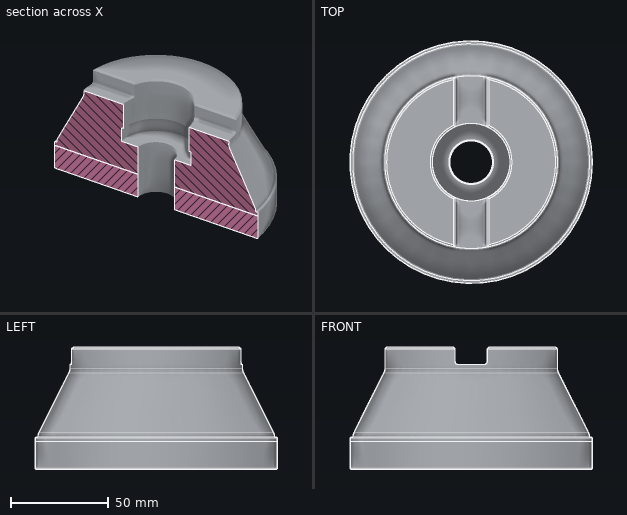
import cadquery as cq
import math

total_height = 63.0
rim_radius = 124.92 / 2
cone_foot_radius = 122.08 / 2
neck_radius = 89.0 / 2
base_height = 14.3
rim_top = 16.6
rim_rounding = 0.8
neck_chamfer = 1.0
blend_radius = 5.0
neck_bottom = 51.95

bore_radius = 40.0 / 2
guide_depth = 24.0
bore_depth = 32.0
relief_radius = 42.0 / 2
bore_chamfer = 1.0
hole_radius = 22.0 / 2
hole_chamfer = 0.5

slot_width = 16.4
slot_depth = 9.0
slot_corner_radius = 1.5
slot_chamfer = 1.0


def cone_angle():
    """Half angle of the cone tangent to both blend arcs.

    The arc centres lie one blend radius inside the foot and outside the neck, and the cone is
    the inner common tangent of the two arcs.
    """
    centre_run = 2 * blend_radius - (cone_foot_radius - neck_radius)
    centre_rise = neck_bottom - rim_top
    centre_distance = math.hypot(centre_run, centre_rise)
    return math.atan2(centre_rise, centre_run) - math.acos(2 * blend_radius / centre_distance)


def make_base():
    """Flat disc with a rounded lower rim and the through hole."""
    disc = cq.Workplane("XY").circle(rim_radius).extrude(base_height)
    disc = disc.faces("<Z").edges().fillet(rim_rounding)
    return disc.cut(cq.Workplane("XY").circle(hole_radius).extrude(base_height))


def make_turned_blank():
    """Rim, cone and neck as one revolved outline."""
    angle = cone_angle()
    sweep_in = blend_radius * (1 - math.cos(angle))
    sweep_up = blend_radius * math.sin(angle)
    half_in = blend_radius * (1 - math.cos(angle / 2))
    half_up = blend_radius * math.sin(angle / 2)
    corner_offset = rim_rounding * (1 - math.sqrt(0.5))
    return (
        cq.Workplane("XZ")
        .moveTo(0, base_height)
        .lineTo(rim_radius, base_height)
        .lineTo(rim_radius, rim_top - rim_rounding)
        .threePointArc(
            (rim_radius - corner_offset, rim_top - corner_offset),
            (rim_radius - rim_rounding, rim_top),
        )
        .lineTo(cone_foot_radius, rim_top)
        .threePointArc(
            (cone_foot_radius - half_in, rim_top + half_up),
            (cone_foot_radius - sweep_in, rim_top + sweep_up),
        )
        .lineTo(neck_radius + sweep_in, neck_bottom - sweep_up)
        .threePointArc((neck_radius + half_in, neck_bottom - half_up), (neck_radius, neck_bottom))
        .lineTo(neck_radius, total_height - neck_chamfer)
        .lineTo(neck_radius - neck_chamfer, total_height)
        .lineTo(0, total_height)
        .close()
        .revolve(360, (0, 0, 0), (0, 1, 0))
    )


def make_bore():
    """Stepped, chamfered bore as one revolved cutter."""
    bore_floor = total_height - bore_depth
    guide_end = total_height - guide_depth
    return (
        cq.Workplane("XZ")
        .moveTo(0, base_height)
        .lineTo(hole_radius, base_height)
        .lineTo(hole_radius, bore_floor - hole_chamfer)
        .lineTo(hole_radius + hole_chamfer, bore_floor)
        .lineTo(relief_radius, bore_floor)
        .lineTo(relief_radius, guide_end)
        .lineTo(bore_radius, guide_end)
        .lineTo(bore_radius, total_height - bore_chamfer)
        .lineTo(bore_radius + bore_chamfer, total_height)
        .lineTo(0, total_height)
        .close()
        .revolve(360, (0, 0, 0), (0, 1, 0))
    )


def make_slot():
    """Slot cutter with rounded floor corners and chamfered mouth edges."""
    half_width = slot_width / 2
    floor = total_height - slot_depth
    length = 2 * rim_radius
    channel = (
        cq.Workplane("XY", origin=(0, 0, floor))
        .rect(slot_width, length)
        .extrude(slot_depth)
        .faces("<Z").edges("|Y").fillet(slot_corner_radius)
    )
    mouth = (
        cq.Workplane("XZ", origin=(0, length / 2, 0))
        .moveTo(-half_width, total_height - slot_chamfer)
        .lineTo(half_width, total_height - slot_chamfer)
        .lineTo(half_width + slot_chamfer, total_height)
        .lineTo(-half_width - slot_chamfer, total_height)
        .close()
        .extrude(length)
    )
    return channel.union(mouth)


base = make_base()
upper_body = make_turned_blank().cut(make_bore()).cut(make_slot())

result = cq.Compound.makeCompound([base.val(), upper_body.val()])